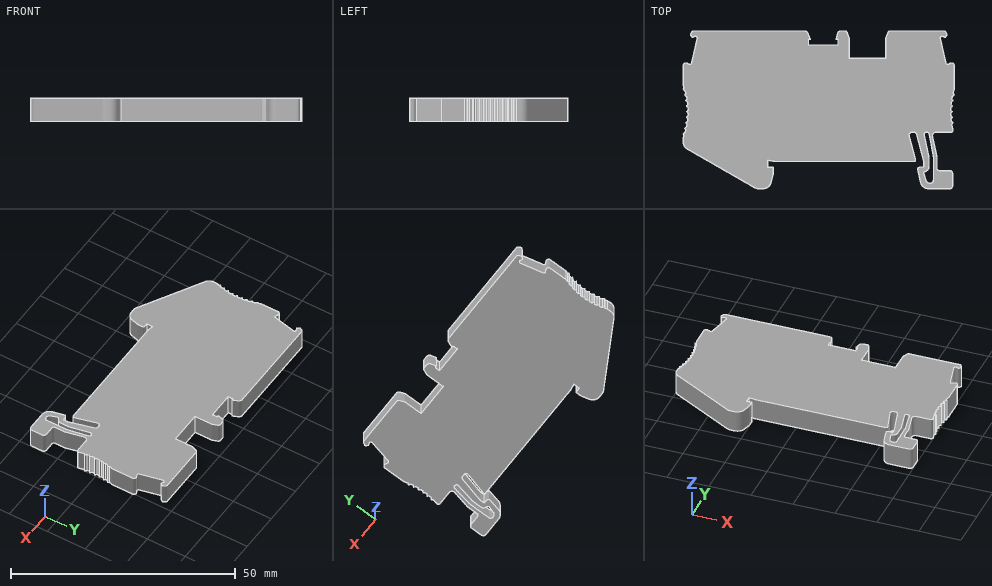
import cadquery as cq
import math


LENGTH = 60.4
THICKNESS = 5.2
HALF_LENGTH = LENGTH / 2
TOP = 29.1
FOOT_BOTTOM = -6.1

GRIP_CENTER_Y = 11.1
GRIP_RADIUS = 15.8
LEFT_GRIP_DEPTH = 1.1
RIGHT_GRIP_DEPTH = 0.8
RIDGE_PITCH = 1.25
RIDGE_HALF_WIDTH = 0.35
RIDGE_HEIGHT = 0.35
RIDGE_ROOT = 0.2
LEFT_RIDGES = range(-4, 5)
RIGHT_RIDGES = range(-2, 4)

MARKER_LEFT = -2.25
MARKER_RIGHT = 4.25
MARKER_FLOOR = 26.0
CLIP_LIP = 0.42
CLIP_UNDERSIDE = 27.2
BRIDGE_LEFT = 6.8
BRIDGE_RIGHT = 14.9
BRIDGE_FLOOR = 23.0
BRIDGE_LEAD_IN = 27.5

HOOK_THROAT_X = -11.35
HOOK_LIP_X = -10.1
HOOK_RELIEF_TOP = 0.25
HOOK_RELIEF_END = -9.9
HOOK_LIP_Y = -1.25
HOOK_RADIUS = 1.9

FOOT_ROOT = 6.5
SHOULDER_RADIUS = 0.5
FOOT_RIGHT = 29.85
FOOT_PAD_TOP = -2.0
LEG_OUTER_X = 26.35
LEG_BEND_Y = 1.1

LEFT_EAR = [
    (-HALF_LENGTH, 22.35, 0.6),
    (-28.45, 21.5, 0.3),
    (-26.95, 28.05, 0.35),
    (-28.15, 27.6, 0.1),
    (-28.65, 28.2, 0.2),
    (-28.15, TOP, 0.4),
]
RIGHT_EAR = [(-x, y, r) for x, y, r in reversed(LEFT_EAR)]

TOP_RECESSES = [
    (-2.6, TOP, 0.9),
    (MARKER_LEFT + CLIP_LIP, CLIP_UNDERSIDE, 0),
    (MARKER_LEFT, CLIP_UNDERSIDE, 0),
    (MARKER_LEFT, MARKER_FLOOR, 0),
    (MARKER_RIGHT, MARKER_FLOOR, 0),
    (MARKER_RIGHT, CLIP_UNDERSIDE, 0),
    (MARKER_RIGHT - CLIP_LIP, CLIP_UNDERSIDE, 0),
    (4.3, TOP, 0.8),
    (6.2, TOP, 0.5),
    (BRIDGE_LEFT, BRIDGE_LEAD_IN, 0.5),
    (BRIDGE_LEFT, BRIDGE_FLOOR, 0),
    (BRIDGE_RIGHT, BRIDGE_FLOOR, 0),
    (BRIDGE_RIGHT, BRIDGE_LEAD_IN, 0.5),
    (15.55, TOP, 0.5),
]

SPRING_FOOT = [
    (HALF_LENGTH, FOOT_ROOT, 0),
    (25.15, FOOT_ROOT, 0.8),
    (LEG_OUTER_X, LEG_BEND_Y, 1),
    (LEG_OUTER_X, FOOT_PAD_TOP, 0.5),
    (FOOT_RIGHT, FOOT_PAD_TOP, 0.7),
    (FOOT_RIGHT, FOOT_BOTTOM, 0.7),
    (22.95, FOOT_BOTTOM, 1.9),
    (21.95, -1.5, 0.15),
    (22.5, -1.2, 0.3),
    (23.35, -1.2, 0),
    (23.35, 0, 0.8),
    (21.65, FOOT_ROOT, 0.6),
    (19.95, FOOT_ROOT, 0.6),
    (21.7, 0, 0.35),
]

RAIL_HOOK = [
    (HOOK_RELIEF_END, 0, 0),
    (HOOK_THROAT_X, HOOK_RELIEF_TOP, 0),
    (HOOK_THROAT_X, HOOK_LIP_Y, 0),
    (HOOK_LIP_X, HOOK_LIP_Y, 0.15),
    (HOOK_LIP_X, -2.8, 2),
    (-11.0, FOOT_BOTTOM, HOOK_RADIUS),
    (-13.85, FOOT_BOTTOM, HOOK_RADIUS),
    (-HALF_LENGTH, 3.3, 1.8),
]

SPRING_SLOT = [
    (23.4, FOOT_ROOT, 0.45),
    (24.5, FOOT_ROOT, 0.45),
    (25.5, LEG_BEND_Y, 1),
    (25.5, -4.8, 0.6),
    (24.1, -4.8, 0.9),
    (23.35, -2.45, 0.25),
    (24.55, -1.8, 1.0),
    (24.55, LEG_BEND_Y, 1),
]


def toward(start, end, distance):
    """Point at the given distance from start on the way to end."""
    share = distance / math.dist(start, end)
    return (start[0] + (end[0] - start[0]) * share, start[1] + (end[1] - start[1]) * share)


def corner_arc(before, corner, after, radius):
    """Start, middle and end of the arc that rounds a corner."""
    angle_in = math.atan2(before[1] - corner[1], before[0] - corner[0])
    angle_out = math.atan2(after[1] - corner[1], after[0] - corner[0])
    half_angle = abs(math.remainder(angle_out - angle_in, 2 * math.pi)) / 2
    setback = radius / math.tan(half_angle)
    start = toward(corner, before, setback)
    end = toward(corner, after, setback)
    chord_middle = ((start[0] + end[0]) / 2, (start[1] + end[1]) / 2)
    middle = toward(corner, chord_middle, radius / math.sin(half_angle) - radius)
    return start, middle, end


def rounded_plate(corners):
    """Extrude a closed outline whose corners carry their own radii."""
    points = [(x, y) for x, y, _ in corners]
    sketch = None
    for i, (x, y, radius) in enumerate(corners):
        corner = (x, y)
        if radius == 0:
            start = corner
        else:
            start, middle, end = corner_arc(points[i - 1], corner, points[(i + 1) % len(points)], radius)
        sketch = cq.Workplane("XY").moveTo(*start) if sketch is None else sketch.lineTo(*start)
        if radius > 0:
            sketch = sketch.threePointArc(middle, end)
    return sketch.close().extrude(THICKNESS)


def grip_surface_x(depth, y):
    """Distance from X = 0 to the hollow surface at height y."""
    axis_x = HALF_LENGTH - depth + GRIP_RADIUS
    return axis_x - math.sqrt(GRIP_RADIUS**2 - (y - GRIP_CENTER_Y) ** 2)


def grip_hollow(side, depth):
    """Cylinder that hollows one end; side is -1 for left, +1 for right."""
    axis_x = side * (HALF_LENGTH - depth + GRIP_RADIUS)
    return cq.Workplane("XY").center(axis_x, GRIP_CENTER_Y).circle(GRIP_RADIUS).extrude(THICKNESS)


def grip_ridge(side, depth, index):
    """Triangular ridge on the hollow, counted from the middle of the grip."""
    y = GRIP_CENTER_Y + index * RIDGE_PITCH
    surface_x = grip_surface_x(depth, y)
    root_x = side * (surface_x - RIDGE_ROOT)
    base_x = side * surface_x
    tip_x = side * min(surface_x + RIDGE_HEIGHT, HALF_LENGTH)
    outline = [
        (root_x, y - RIDGE_HALF_WIDTH),
        (base_x, y - RIDGE_HALF_WIDTH),
        (tip_x, y),
        (base_x, y + RIDGE_HALF_WIDTH),
        (root_x, y + RIDGE_HALF_WIDTH),
    ]
    return cq.Workplane("XY").polyline(outline).close().extrude(THICKNESS)


def add_grip(body, side, depth, ridge_indices):
    body = body.cut(grip_hollow(side, depth))
    for index in ridge_indices:
        body = body.union(grip_ridge(side, depth, index))
    return body


def round_shoulder(body):
    """Round the corner where the right grip meets the shoulder above the foot."""
    corner = (grip_surface_x(RIGHT_GRIP_DEPTH, FOOT_ROOT), FOOT_ROOT, THICKNESS / 2)
    return body.edges(cq.NearestToPointSelector(corner)).fillet(SHOULDER_RADIUS)


housing = rounded_plate(LEFT_EAR + TOP_RECESSES + RIGHT_EAR + SPRING_FOOT + RAIL_HOOK)
housing = housing.cut(rounded_plate(SPRING_SLOT))
housing = add_grip(housing, -1, LEFT_GRIP_DEPTH, LEFT_RIDGES)
housing = add_grip(housing, 1, RIGHT_GRIP_DEPTH, RIGHT_RIDGES)

result = round_shoulder(housing)